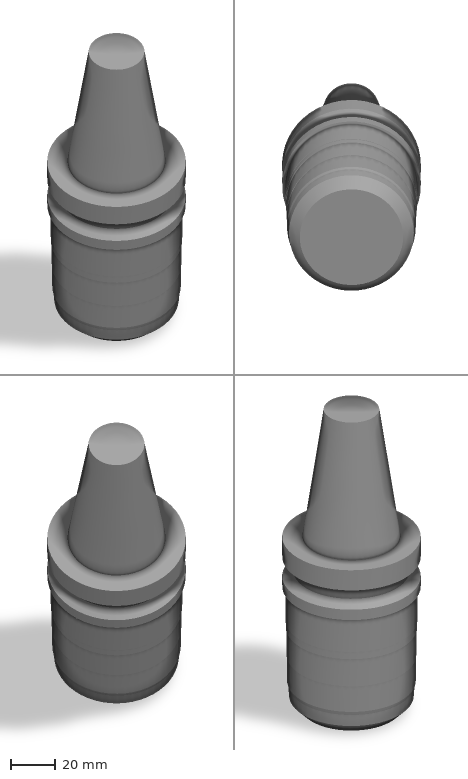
import cadquery as cq
import math

total_height = 154.3

shank_top_diameter = 25.3
shank_base_diameter = 44.5
shank_base_z = 88.9

flange_diameter = 63.0
flange_top_z = 88.0
flange_bottom_z = 62.0
groove_diameter = 53.0
groove_top_z = 77.5
groove_bottom_z = 67.5
groove_side_angle = 30
groove_depth = (flange_diameter - groove_diameter) / 2
groove_side_height = groove_depth * math.tan(math.radians(groove_side_angle))

body_steps = [
    (60.0, 44.6),
    (59.7, 40.7),
    (59.0, 26.4),
    (58.5, 13.0),
]

nose_bevel_diameter = 57.5
nose_bevel_z = 11.1
nose_diameter = 56.6
nose_chamfer_height = 5.1
nose_tip_diameter = 46.9


def revolve_about_z(stations):
    """Solid of revolution through (diameter, height) stations, closed on the Z axis."""
    top_z = stations[0][1]
    bottom_z = stations[-1][1]
    outline = [(0, top_z)]
    outline += [(diameter / 2, height) for diameter, height in stations]
    outline += [(0, bottom_z)]
    return cq.Workplane("XZ").polyline(outline).close().revolve(360, (0, 0, 0), (0, 1, 0))


shank = [
    (shank_top_diameter, total_height),
    (shank_base_diameter, shank_base_z),
    (shank_base_diameter, flange_top_z),
]

flange = [
    (flange_diameter, flange_top_z),
    (flange_diameter, groove_top_z),
    (groove_diameter, groove_top_z - groove_side_height),
    (groove_diameter, groove_bottom_z + groove_side_height),
    (flange_diameter, groove_bottom_z),
    (flange_diameter, flange_bottom_z),
]

body = []
step_top_z = flange_bottom_z
for step_diameter, step_bottom_z in body_steps:
    body += [(step_diameter, step_top_z), (step_diameter, step_bottom_z)]
    step_top_z = step_bottom_z

nose = [
    (nose_bevel_diameter, nose_bevel_z),
    (nose_diameter, nose_chamfer_height),
    (nose_tip_diameter, 0),
]

result = revolve_about_z(shank + flange + body + nose)